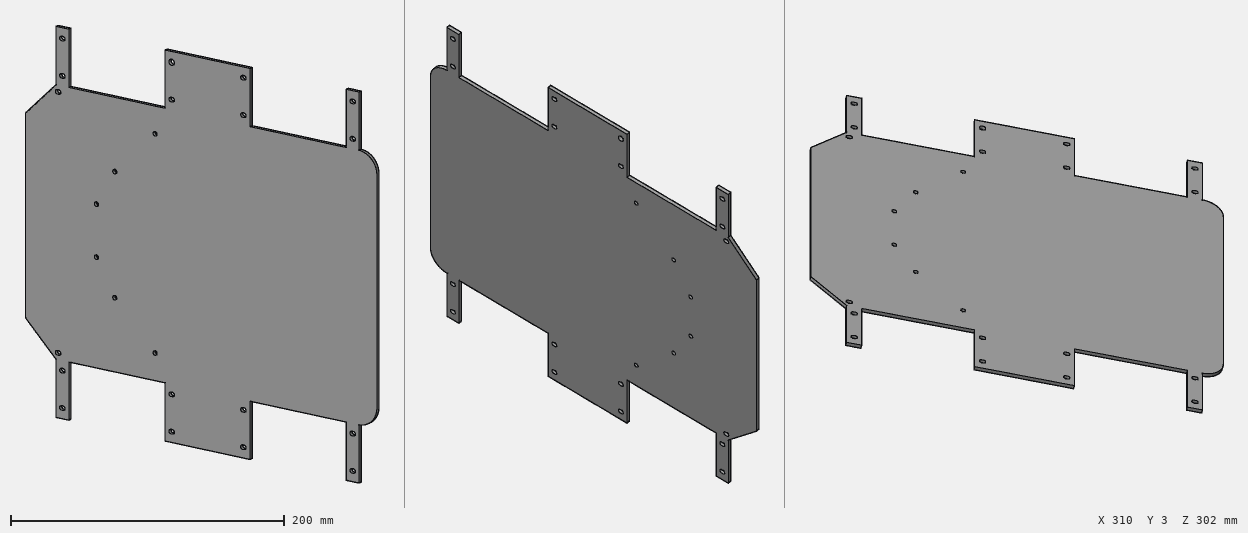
import cadquery as cq

length = 310.0
height = 302.0
thickness = 3.0
body_height = 212.0
corner_chamfer = 27.0
corner_radius = 16.0

tab_center_x = 5.5
narrow_tab_width = 11.5
wide_tab_width = 75.0
narrow_tab_spacing = 256.0

slot_length = 4.5
slot_width = 3.5
wide_tab_hole_spacing = 63.2
outer_hole_z = 142.5
inner_hole_z = 113.8
round_tab_hole_diameter = 4.5

body_hole_diameter = 3.5
corner_slot_position = (-126.2, 100.8)
body_hole_positions = [(-40.5, 84.5), (-76.3, 48.7), (-92.5, 20.5)]


def box_at(x, width, total_height):
    """Full-thickness rectangle centred at x and mid-height."""
    return cq.Workplane("XY").box(width, thickness, total_height).translate((x, 0, 0))


def cutter_plane():
    """Sketch plane on the front face, looking along the thickness."""
    return cq.Workplane("XZ", origin=(0, -thickness / 2, 0))


def mirrored(points):
    """Points together with their images below the midline."""
    return [(x, side * z) for x, z in points for side in (1, -1)]


def make_body():
    """Main panel: chamfered left corners, rounded right corners."""
    body = box_at(0, length, body_height)
    body = body.edges("|Y and <X").chamfer(corner_chamfer)
    return body.edges("|Y and >X").fillet(corner_radius)


def round_holes(points, diameter):
    return cutter_plane().pushPoints(points).circle(diameter / 2).extrude(-thickness)


def slots(points):
    """Through slots lying along X."""
    return cutter_plane().pushPoints(points).slot2D(slot_length, slot_width).extrude(-thickness)


def tab_hole_positions():
    """Two rows of holes in every tab."""
    columns = [
        tab_center_x + side * spacing / 2
        for spacing in (narrow_tab_spacing, wide_tab_hole_spacing)
        for side in (-1, 1)
    ]
    return mirrored([(x, z) for x in columns for z in (inner_hole_z, outer_hole_z)])


plate = make_body().union(box_at(tab_center_x, wide_tab_width, height))
for side in (-1, 1):
    tab_x = tab_center_x + side * narrow_tab_spacing / 2
    for end in (-1, 1):
        tab_length = (height - body_height) / 2
        tab = box_at(tab_x, narrow_tab_width, tab_length)
        plate = plate.union(tab.translate((0, 0, end * (height - tab_length) / 2)))

round_tab_hole = (tab_center_x - wide_tab_hole_spacing / 2, outer_hole_z)
slot_positions = [point for point in tab_hole_positions() if point != round_tab_hole]
slot_positions += mirrored([corner_slot_position])

result = (
    plate.cut(slots(slot_positions))
    .cut(round_holes([round_tab_hole], round_tab_hole_diameter))
    .cut(round_holes(mirrored(body_hole_positions), body_hole_diameter))
)